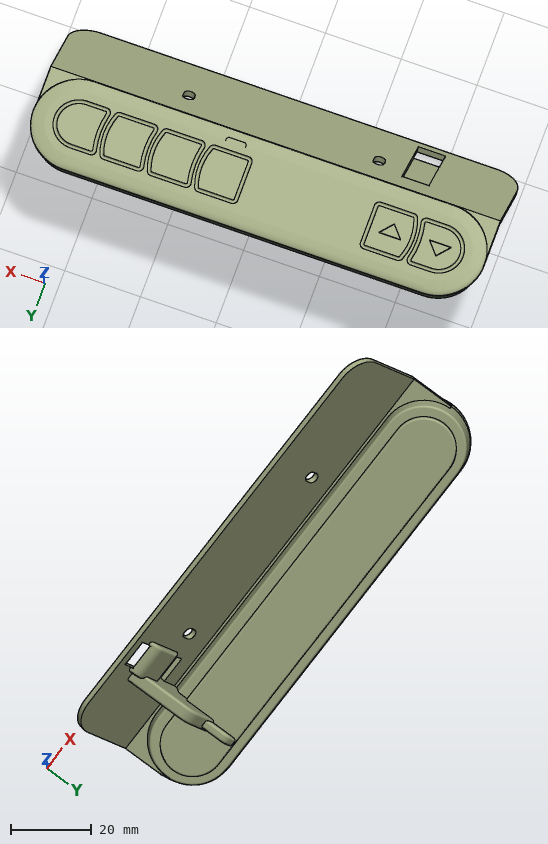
import cadquery as cq
import math

length = 119.0
bar_radius = 12.0
end_x = length / 2 - bar_radius
crown_width = 3.6
crown_drop = 0.7
rim_bottom = -1.3
panel_half_width = bar_radius - crown_width

tab_x = 9.2
tab_width = 5.2
tab_reach = 1.1
tab_corner = 0.5

lower_shift_y = 0.4
tub_radius = 11.5
tub_depth = 5.4
tub_taper = 9.0
tub_edge_radius = 0.6
foot_radius = 8.1
foot_depth = 1.9
foot_edge_radius = 0.5
foot_bottom = rim_bottom - tub_depth - foot_depth

sheet_thickness = 1.5
sheet_width = 118.6
flange_corner_radius = 7.1
bend_angle = 45.0
bend_y = -12.3
flange_run = 17.4
slope = math.radians(bend_angle)
flange_length = flange_run / math.cos(slope)

window_x = -35.6
window_width = 7.1
window_start = 5.2
window_end = 22.4
hole_xs = (-25.1, 25.1)
hole_distance = 9.0
hole_width = 2.9
hole_length = 4.2

bridge_width = window_width + 2.4
bridge_gap = 0.4
bridge_thickness = 2.1
bridge_top_y = bend_y - 4.8
bridge_bottom = -16.4
bridge_corner_radius = 3.0
bridge_edge_radius = 0.7

rib_width = 3.6
rib_x = window_x - (window_width + rib_width) / 2
rib_bottom = -15.0
rib_back_y = -5.5
rib_corner_radius = 5.4
step_width = 2.4
step_bottom = -10.7
step_back_y = 6.0
step_corner_radius = 3.0
rib_edge_radius = 0.7

key_half_height = 6.0
groove_radius = 0.5
key_corner_radius = 0.8
key_pitch = 12.5
end_key_side = 41.3
end_key_bow = 0.8
next_key_side = 39.3
next_key_bow = 1.2
straight_side = 29.2

arrow_half_width = 2.9
arrow_height = 3.3
arrow_raise = 0.4
arrow_base = 1.2
up_arrow_x = -end_x
down_arrow_x = -35.0


def make_bar():
    def half_profile(workplane):
        return (
            workplane.lineTo(panel_half_width, 0)
            .ellipseArc(crown_width, crown_drop, 0, 90, sense=-1)
            .lineTo(bar_radius, rim_bottom)
            .lineTo(0, rim_bottom)
            .close()
        )

    back_half = half_profile(cq.Workplane("YZ", origin=(-end_x, 0, 0))).extrude(2 * end_x)
    bar = back_half.union(back_half.mirror("XZ"))
    for x in (-end_x, end_x):
        rounded_end = half_profile(cq.Workplane("XZ", origin=(x, 0, 0))).revolve(360, (0, 0), (0, 1))
        bar = bar.union(rounded_end)
    return bar


def make_panel_tab():
    front_y = -panel_half_width - tab_reach
    tab = cq.Workplane("XY").box(tab_width, tab_reach, crown_drop, centered=(True, False, False))
    tab = tab.faces("<Y").edges("|Z").chamfer(tab_corner)
    return tab.translate((tab_x, front_y, -crown_drop))


def make_lower_body():
    def stadium(radius, top):
        workplane = cq.Workplane("XY", origin=(0, lower_shift_y, top))
        return workplane.slot2D(2 * (end_x + radius), 2 * radius)

    tub = stadium(tub_radius, rim_bottom).extrude(-tub_depth, taper=tub_taper)
    tub = tub.faces("<Z").edges().fillet(tub_edge_radius)
    foot = stadium(foot_radius, rim_bottom - tub_depth).extrude(-foot_depth)
    foot = foot.faces("<Z").edges().fillet(foot_edge_radius)
    return tub.union(foot)


def place_on_flange(shape):
    """Tilt a shape so that its z = 0 plane becomes the flange's top face, with -Y down the slope."""
    return shape.rotate((0, 0, 0), (1, 0, 0), bend_angle).translate((0, bend_y, rim_bottom))


def make_bracket():
    plate_bottom = rim_bottom - sheet_thickness
    inner_bend_y = bend_y + sheet_thickness * math.tan(slope / 2)
    plate = (
        cq.Workplane("YZ", origin=(-sheet_width / 2, 0, 0))
        .moveTo(0, rim_bottom)
        .lineTo(bend_y, rim_bottom)
        .lineTo(inner_bend_y, plate_bottom)
        .lineTo(0, plate_bottom)
        .close()
        .extrude(sheet_width)
    )
    flange = cq.Workplane("XY").rect(sheet_width, 2 * flange_length).extrude(-sheet_thickness)
    flange = flange.faces("<Y").edges("|Z").fillet(flange_corner_radius)
    flange = flange.intersect(
        cq.Workplane("XY").box(sheet_width, 2 * flange_length, 2 * sheet_thickness)
        .translate((0, -flange_length, 0))
    )
    return plate.union(place_on_flange(flange))


def make_flange_openings():
    window = (
        cq.Workplane("XY")
        .center(window_x, -(window_start + window_end) / 2)
        .rect(window_width, window_end - window_start)
        .extrude(-sheet_thickness - bridge_gap)
    )
    holes = (
        cq.Workplane("XY")
        .pushPoints([(x, -hole_distance) for x in hole_xs])
        .slot2D(hole_length, hole_width, 90)
        .extrude(-sheet_thickness)
    )
    return place_on_flange(window.union(holes))


def sheet_underside_y(z):
    return bend_y + sheet_thickness / math.sin(slope) - (rim_bottom - z) / math.tan(slope)


def make_rib(width, top, bottom, back_y, corner_radius):
    """Rib from the flange's underside to a back face of the same slope, with rounded lower edges."""
    back_lean = (top - bottom) / math.tan(slope)
    rib = (
        cq.Workplane("YZ", origin=(rib_x - width / 2, 0, 0))
        .moveTo(sheet_underside_y(top), top)
        .lineTo(sheet_underside_y(bottom), bottom)
        .lineTo(back_y, bottom)
        .lineTo(back_y + back_lean, top)
        .close()
        .extrude(width)
    )
    rib = rib.faces("<Z").edges(">Y").fillet(corner_radius)
    return rib.faces("<Z").edges("<X or >X").fillet(rib_edge_radius)


def make_bridge():
    lower_front_y = sheet_underside_y(bridge_bottom)
    upper_z = rim_bottom - (bend_y - bridge_top_y) * math.tan(slope) - sheet_thickness / math.cos(slope)
    drop = bridge_thickness / math.cos(slope)
    reach = bridge_thickness / math.sin(slope)
    bridge = (
        cq.Workplane("YZ", origin=(window_x - bridge_width / 2, 0, 0))
        .moveTo(bridge_top_y, upper_z)
        .lineTo(lower_front_y, bridge_bottom)
        .lineTo(lower_front_y + reach, bridge_bottom)
        .lineTo(bridge_top_y, upper_z - drop)
        .close()
        .extrude(bridge_width)
    )
    bridge = bridge.faces("<Z").edges(">Y").fillet(bridge_corner_radius)
    return bridge.faces("<Z").edges("<X or >X").fillet(bridge_edge_radius)


def make_groove(outline):
    """Groove along a closed outline whose corners are rounded first."""
    path = outline.offset2D(-key_corner_radius).offset2D(key_corner_radius)
    wire = path.wires().val()
    section = cq.Plane(origin=wire.startPoint(), normal=wire.tangentAt(0))
    return cq.Workplane(section).circle(groove_radius).sweep(cq.Workplane(wire))


def make_end_key_groove():
    outline = (
        cq.Workplane("XY")
        .moveTo(end_key_side, key_half_height)
        .lineTo(end_x, key_half_height)
        .threePointArc((end_x + key_half_height, 0), (end_x, -key_half_height))
        .lineTo(end_key_side, -key_half_height)
        .threePointArc((end_key_side + end_key_bow, 0), (end_key_side, key_half_height))
        .close()
    )
    return make_groove(outline)


def make_key_groove(inner_side, inner_bow):
    """Groove of a key to the left of the end key; its inner side is straight when inner_bow is 0."""
    outline = (
        cq.Workplane("XY")
        .moveTo(inner_side, key_half_height)
        .lineTo(next_key_side, key_half_height)
        .threePointArc((next_key_side + next_key_bow, 0), (next_key_side, -key_half_height))
        .lineTo(inner_side, -key_half_height)
    )
    if inner_bow > 0:
        outline = outline.threePointArc((inner_side + inner_bow, 0), (inner_side, key_half_height))
    return make_groove(outline.close())


def make_arrow(x, direction):
    """Raised triangle pointing to +Y for direction 1 and to -Y for direction -1."""
    base_y = -direction * arrow_base
    points = [
        (x - arrow_half_width, base_y),
        (x + arrow_half_width, base_y),
        (x, base_y + direction * arrow_height),
    ]
    return cq.Workplane("XY").polyline(points).close().extrude(arrow_raise)


result = (
    make_bar()
    .union(make_panel_tab())
    .union(make_lower_body())
    .union(make_bracket())
    .union(make_bridge())
    .union(make_rib(rib_width, rim_bottom, rib_bottom, rib_back_y, rib_corner_radius))
    .union(make_rib(step_width, foot_bottom, step_bottom, step_back_y, step_corner_radius))
    .cut(make_flange_openings())
)

end_key_groove = make_end_key_groove()
last_key_groove = make_key_groove(straight_side, 0)
middle_key_groove = make_key_groove(end_key_side - key_pitch, end_key_bow)
right_grooves = [
    end_key_groove,
    middle_key_groove,
    middle_key_groove.translate((-key_pitch, 0, 0)),
    last_key_groove.translate((-2 * key_pitch, 0, 0)),
]
left_grooves = [end_key_groove.mirror("YZ"), last_key_groove.mirror("YZ")]
for groove in right_grooves + left_grooves:
    result = result.cut(groove)

result = result.union(make_arrow(up_arrow_x, 1)).union(make_arrow(down_arrow_x, -1))